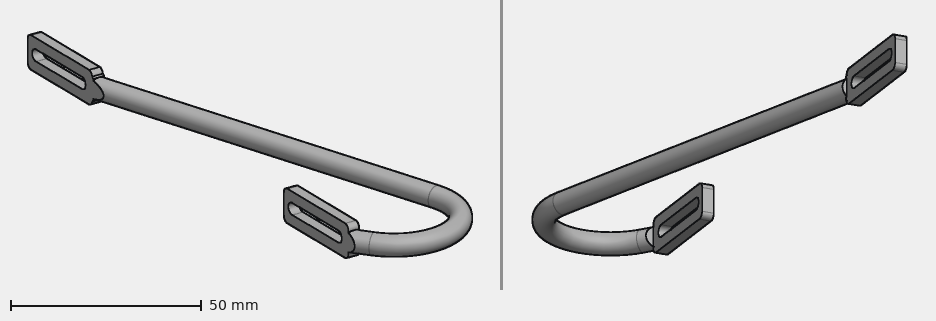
import cadquery as cq
import math

overall_length = 163.5
overall_depth = 39.4

plate_length = 30.1
plate_height = 10.0
plate_thickness = 3.5
plate_corner = 1.6
slot_length = 24.9
slot_height = 3.5
slot_start = 2.1
right_plate_x = 119.2

neck_start = 28.6
neck_end = 30.5

rod_radius = 3.1
leg_angle = 17.5
bend_radius = 17.5
bend_end_angle = -53.0
bend_center_x = overall_length - bend_radius - rod_radius
bend_center_y = overall_depth - bend_radius - rod_radius
left_rod_x = 29.8
right_rod_x = right_plate_x + plate_length
end_allowance = 4.9


def bend_point(angle):
    a = math.radians(angle)
    return (bend_center_x + bend_radius * math.cos(a), bend_center_y + bend_radius * math.sin(a))


def block(x_start, x_end, y_start, y_end, height):
    """Box centred on Z = 0."""
    return (
        cq.Workplane("XY")
        .box(x_end - x_start, y_end - y_start, height, centered=(False, False, True))
        .translate((x_start, y_start, 0))
    )


def make_plate(x_start):
    slot = (
        cq.Workplane("XZ")
        .center(slot_start + slot_length / 2, 0)
        .slot2D(slot_length, slot_height)
        .extrude(-plate_thickness)
    )
    plate = block(0, plate_length, 0, plate_thickness, plate_height).edges("|Y").fillet(plate_corner)
    return plate.cut(slot).translate((x_start, 0, 0))


def make_neck():
    half_plate = plate_height / 2
    return (
        cq.Workplane("XZ")
        .moveTo(neck_start, -half_plate)
        .lineTo(neck_end, -rod_radius)
        .lineTo(neck_end, rod_radius)
        .lineTo(neck_start, half_plate)
        .close()
        .extrude(-plate_thickness)
    )


def make_rod():
    leg_slope = math.radians(leg_angle)
    bend_start = bend_point(90 + leg_angle)
    bend_end = bend_point(bend_end_angle)
    bend_middle = bend_point((90 + leg_angle + bend_end_angle) / 2)

    leg_start_x = left_rod_x - end_allowance
    leg_start_y = bend_start[1] - (bend_start[0] - leg_start_x) * math.tan(leg_slope)

    stub_slope = math.radians(bend_end_angle + 90)
    stub_end_x = right_rod_x - end_allowance
    stub_end_y = bend_end[1] - (bend_end[0] - stub_end_x) * math.tan(stub_slope)

    path = (
        cq.Workplane("XY")
        .moveTo(leg_start_x, leg_start_y)
        .lineTo(*bend_start)
        .threePointArc(bend_middle, bend_end)
        .lineTo(stub_end_x, stub_end_y)
    )
    section = cq.Plane(
        origin=(leg_start_x, leg_start_y, 0),
        xDir=(0, 0, 1),
        normal=(math.cos(leg_slope), math.sin(leg_slope), 0),
    )
    rod = cq.Workplane(section).circle(rod_radius).sweep(path)

    trim_height = 4 * rod_radius
    trim_depth = 3 * end_allowance
    rod = rod.cut(block(0, left_rod_x, -trim_depth, trim_depth, trim_height))
    rod = rod.cut(block(right_rod_x - 2 * end_allowance, right_rod_x, -trim_depth, trim_depth, trim_height))
    return rod.cut(block(0, overall_length, -trim_depth, 0, trim_height))


result = make_plate(0).union(make_neck()).union(make_rod()).union(make_plate(right_plate_x))